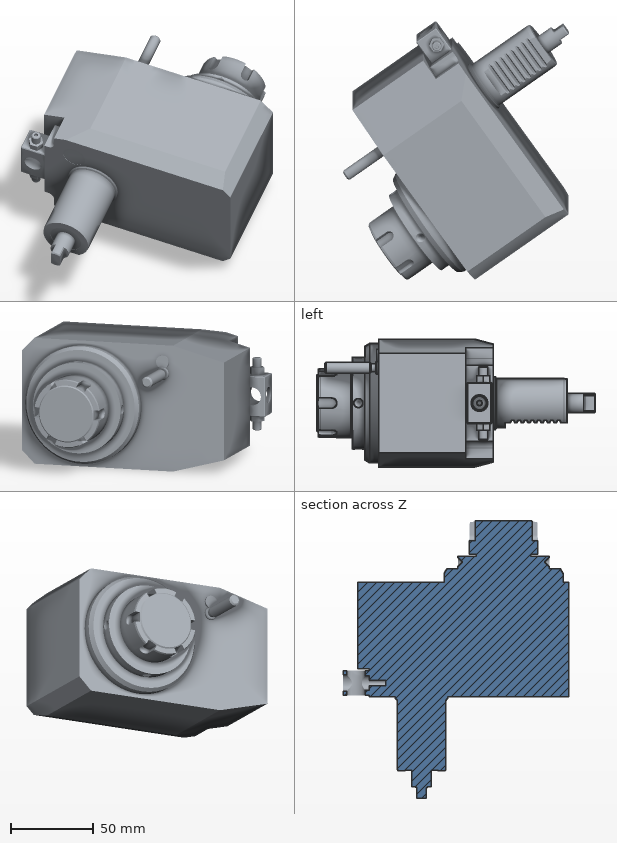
import math

import cadquery as cq


HOUSING_LEFT = -39.0
HOUSING_RIGHT = 90.0
HOUSING_DEPTH = 70.0
HALF_HEIGHT = 39.0
TAPER_START_X = -6.5
TAPER_ANGLE = 15.0
RIGHT_CHAMFER = 8.0
FRONT_BEVEL_DROP = 3.1
FRONT_BEVEL_ANGLE = 15.0

RECESS_DEPTH = 17.0
RECESS_FLOOR_X = -25.7
SEAT_X = -32.0
SEAT_HALF_HEIGHT = 23.2
SEAT_FILLET = 4.0

PLUG_X = -12.5
PLUG_Z = 21.5
PLUG_DIAMETER = 14.5
PLUG_RECESS = 0.1

SHANK_RADIUS = 15.0
SHANK_LENGTH = 45.0
SHANK_END_TAPER_LENGTH = 2.1
SHANK_END_TAPER = 0.3
COLLAR_RADIUS = 16.2
COLLAR_LENGTH = 1.1
COLLAR_SLOPE_END = 1.6
NECK_RADIUS = 15.2
NECK_LENGTH = 2.4
SEAL_RADIUS = 10.0
SEAL_RECESS = 0.3
FLAT_Z = -12.0
FLAT_START = 7.1
TOOTH_COUNT = 8
TOOTH_PITCH = 4.0
FIRST_GROOVE = 11.7
GROOVE_DEPTH = 1.5
GROOVE_MOUTH = 2.8
GROOVE_FLOOR = 1.2
SHAFT_RADIUS = 6.0
SHAFT_END = 55.0
TANG_END = 62.0
TANG_WIDTH = 6.0
TANG_ROOT_FILLET = 0.9
TANG_EDGE_CHAMFER = 0.6
TANG_FACE_HALF_HEIGHT = 4.6

BLOCK_LEFT = -48.0
BLOCK_FRONT = 1.0
BLOCK_BACK = 16.0
BLOCK_HALF_HEIGHT = 12.5
BLOCK_EDGE_CHAMFER = 0.5
BLOCK_BORE_X = -40.0
BLOCK_BORE_DIAMETER = 11.0
INLET_DIAMETER = 10.0
INLET_END_DIAMETER = 8.4
COOLANT_DIAMETER = 3.2
COOLANT_DEPTH = 10.0
FITTING_X = -40.0
FITTING_Y = 6.2
HEX_ACROSS_FLATS = 8.0
HEX_HEIGHT = 4.1
STUD_DIAMETER = 5.4
STUD_TOP = 22.3
STUD_CHAMFER = 0.4
SOCKET_ACROSS_FLATS = 2.5
SOCKET_DEPTH = 2.0

PIN_Z = 21.5
PIN_RADIUS = 3.4
PIN_NECK_RADIUS = 2.5
PIN_COLLAR_RADIUS = 4.0
PIN_COLLAR_EDGE = 71.0
PIN_COLLAR_END = 71.6
PIN_NECK_END = 74.6
PIN_SHOULDER = 75.4
PIN_END = 102.8
PIN_CHAMFER = 1.0
BUTTON_Z = 28.7
BUTTON_RADIUS = 4.0
BUTTON_HEIGHT = 1.2

SPINDLE_X = 50.0
BASE_RADIUS = 36.4
BASE_TOP = 78.3
BASE_CHAMFER_LENGTH = 3.0
BASE_CHAMFER_WIDTH = 1.75
FLANGE_RADIUS = 28.0
FLANGE_TOP = 86.0
FLANGE_HOLE_COUNT = 4
FLANGE_HOLE_Y = 82.3
FLANGE_HOLE_DIAMETER = 5.5
NUT_NECK_RADIUS = 16.8
NUT_BOTTOM = 86.7
NUT_RADIUS = 21.0
NUT_BOTTOM_CHAMFER = 0.4
NUT_EDGE_Y = 105.4
NUT_SHOULDER_RADIUS = 20.6
NUT_SHOULDER_Y = 106.7
NUT_LIP_RADIUS = 17.6
NUT_LIP_Y = 106.9
NUT_FACE_RADIUS = 16.9
NUT_TOP = 107.6
SLOT_COUNT = 6
SLOT_WIDTH = 6.2
SLOT_FLOOR_RADIUS = 17.5
SLOT_END_Y = 95.5

BORE_OVERRUN = 1.0


def box_between(x_range, y_range, z_range):
    """Axis-aligned box given by its limits."""
    spans = [high - low for low, high in (x_range, y_range, z_range)]
    corner = (x_range[0], y_range[0], z_range[0])
    return cq.Workplane("XY").box(*spans, centered=False).translate(corner)


def turned(profile, x=0.0, z=0.0):
    """Solid of revolution about a Y-direction axis; profile holds (radius, y) points."""
    points = [(0, profile[0][1])] + profile + [(0, profile[-1][1])]
    body = cq.Workplane("XY").polyline(points).close().revolve(360, (0, 0, 0), (0, 1, 0))
    return body.translate((x, 0, z))


def cylinder_y(radius, y_start, y_end, x=0.0, z=0.0):
    return turned([(radius, y_start), (radius, y_end)], x, z)


def make_housing():
    left_half_height = HALF_HEIGHT - (TAPER_START_X - HOUSING_LEFT) * math.tan(math.radians(TAPER_ANGLE))
    upper = [
        (HOUSING_LEFT, left_half_height),
        (TAPER_START_X, HALF_HEIGHT),
        (HOUSING_RIGHT - RIGHT_CHAMFER, HALF_HEIGHT),
        (HOUSING_RIGHT, HALF_HEIGHT - RIGHT_CHAMFER),
    ]
    lower = [(x, -z) for x, z in reversed(upper)]
    housing = cq.Workplane("XZ").polyline(upper + lower).close().extrude(-HOUSING_DEPTH)

    bevel_length = FRONT_BEVEL_DROP / math.tan(math.radians(FRONT_BEVEL_ANGLE))
    bevel = (
        cq.Workplane("YZ", origin=(HOUSING_LEFT, 0, 0))
        .polyline([(0, HALF_HEIGHT - FRONT_BEVEL_DROP), (bevel_length, HALF_HEIGHT), (0, HALF_HEIGHT)])
        .close()
        .extrude(HOUSING_RIGHT - HOUSING_LEFT)
    )
    housing = housing.cut(bevel).cut(bevel.mirror("XY"))
    housing = housing.cut(make_recess()).cut(make_recess().mirror("XY"))
    strip = box_between((HOUSING_LEFT, SEAT_X), (0, RECESS_DEPTH), (-SEAT_HALF_HEIGHT, SEAT_HALF_HEIGHT))
    plug_mark = cylinder_y(PLUG_DIAMETER / 2, 0, PLUG_RECESS, PLUG_X, PLUG_Z)
    return housing.cut(strip).cut(plug_mark)


def make_recess():
    """Cutter for the recess above the seat, rounded where its floor meets the seat side."""
    fillet_x = RECESS_FLOOR_X - SEAT_FILLET
    fillet_z = SEAT_HALF_HEIGHT + SEAT_FILLET
    half_root = SEAT_FILLET * math.sqrt(0.5)
    return (
        cq.Workplane("XZ")
        .moveTo(HOUSING_LEFT, SEAT_HALF_HEIGHT)
        .lineTo(fillet_x, SEAT_HALF_HEIGHT)
        .threePointArc((fillet_x + half_root, fillet_z - half_root), (RECESS_FLOOR_X, fillet_z))
        .lineTo(RECESS_FLOOR_X, HALF_HEIGHT)
        .lineTo(HOUSING_LEFT, HALF_HEIGHT)
        .close()
        .extrude(-RECESS_DEPTH)
    )


def make_shank():
    shank = turned([
        (COLLAR_RADIUS, 0),
        (COLLAR_RADIUS, -COLLAR_LENGTH),
        (NECK_RADIUS, -COLLAR_SLOPE_END),
        (SHANK_RADIUS, -NECK_LENGTH),
        (SHANK_RADIUS, SHANK_END_TAPER_LENGTH - SHANK_LENGTH),
        (SHANK_RADIUS - SHANK_END_TAPER, -SHANK_LENGTH),
    ])
    shank = shank.cut(cylinder_y(SEAL_RADIUS, -SHANK_LENGTH, SEAL_RECESS - SHANK_LENGTH))
    flat = box_between(
        (-SHANK_RADIUS, SHANK_RADIUS), (-SHANK_LENGTH, -FLAT_START), (-COLLAR_RADIUS, FLAT_Z)
    )
    shank = shank.cut(flat)
    for index in range(TOOTH_COUNT):
        shank = shank.cut(make_tooth_groove(-FIRST_GROOVE - index * TOOTH_PITCH))
    return shank


def make_tooth_groove(y):
    """Trapezoidal groove across the shank flat, centred at y."""
    return (
        cq.Workplane("YZ", origin=(0, y, FLAT_Z))
        .polyline([
            (-GROOVE_MOUTH / 2, 0),
            (-GROOVE_FLOOR / 2, GROOVE_DEPTH),
            (GROOVE_FLOOR / 2, GROOVE_DEPTH),
            (GROOVE_MOUTH / 2, 0),
        ])
        .close()
        .extrude(SHANK_RADIUS, both=True)
    )


def make_drive_shaft():
    """Round shaft with a flat tang that blends into it through root fillets."""
    shaft = turned([
        (SHAFT_RADIUS, SEAL_RECESS - SHANK_LENGTH),
        (SHAFT_RADIUS, TANG_EDGE_CHAMFER - TANG_END),
        (SHAFT_RADIUS - TANG_EDGE_CHAMFER, -TANG_END),
    ])
    side = box_between(
        (TANG_WIDTH / 2, SHAFT_RADIUS + BORE_OVERRUN),
        (-TANG_END - BORE_OVERRUN, -SHAFT_END),
        (-SHAFT_RADIUS, SHAFT_RADIUS),
    )
    side = side.edges("<X and >Y").fillet(TANG_ROOT_FILLET)
    corner = make_tang_corner()
    for cutter in (side, corner, corner.mirror("XY")):
        shaft = shaft.cut(cutter).cut(cutter.mirror("YZ"))
    return shaft


def make_tang_corner():
    """Cutter for the bevel along one long corner of the tang."""
    face_x = TANG_WIDTH / 2
    bevel_x = face_x - TANG_EDGE_CHAMFER
    bevel_z = math.sqrt(SHAFT_RADIUS**2 - bevel_x**2)
    return (
        cq.Workplane("XZ", origin=(0, -SHAFT_END, 0))
        .polyline([(face_x, TANG_FACE_HALF_HEIGHT), (bevel_x, bevel_z), (face_x, bevel_z)])
        .close()
        .extrude(TANG_END - SHAFT_END)
    )


def make_coolant_block():
    block = box_between(
        (BLOCK_LEFT, SEAT_X), (BLOCK_FRONT, BLOCK_BACK), (-BLOCK_HALF_HEIGHT, BLOCK_HALF_HEIGHT)
    )
    block = block.edges("not >X").chamfer(BLOCK_EDGE_CHAMFER)
    block = block.cut(cylinder_y(BLOCK_BORE_DIAMETER / 2, BLOCK_FRONT, BLOCK_BACK, BLOCK_BORE_X))
    return block.union(make_fitting()).union(make_fitting().mirror("XY"))


def make_fitting():
    """Hexagon and socketed stud standing on top of the coolant block."""
    hex_across_corners = HEX_ACROSS_FLATS / math.cos(math.pi / 6)
    socket_across_corners = SOCKET_ACROSS_FLATS / math.cos(math.pi / 6)
    base = cq.Workplane("XY", origin=(FITTING_X, FITTING_Y, BLOCK_HALF_HEIGHT))
    hexagon = base.polygon(6, hex_across_corners).extrude(HEX_HEIGHT)
    stud = base.circle(STUD_DIAMETER / 2).extrude(STUD_TOP - BLOCK_HALF_HEIGHT)
    stud = stud.faces(">Z").chamfer(STUD_CHAMFER)
    stud = stud.faces(">Z").workplane().polygon(6, socket_across_corners).cutBlind(-SOCKET_DEPTH)
    return hexagon.union(stud)


def make_inlet():
    """Cutter for the side inlet: stepped bore to the seat, then a coolant hole."""
    block_center_y = (BLOCK_FRONT + BLOCK_BACK) / 2
    start = cq.Workplane("YZ", origin=(BLOCK_LEFT, block_center_y, 0))
    entry = start.circle(INLET_DIAMETER / 2).extrude(BLOCK_BORE_X - BLOCK_LEFT)
    end_bore = start.circle(INLET_END_DIAMETER / 2).extrude(SEAT_X - BLOCK_LEFT)
    coolant_hole = start.circle(COOLANT_DIAMETER / 2).extrude(SEAT_X - BLOCK_LEFT + COOLANT_DEPTH)
    return entry.union(end_bore).union(coolant_hole)


def make_locating_pin():
    pin = turned([
        (PIN_COLLAR_RADIUS, HOUSING_DEPTH),
        (PIN_COLLAR_RADIUS, PIN_COLLAR_EDGE),
        (PIN_RADIUS, PIN_COLLAR_END),
        (PIN_NECK_RADIUS, PIN_COLLAR_END),
        (PIN_NECK_RADIUS, PIN_NECK_END),
        (PIN_RADIUS, PIN_SHOULDER),
        (PIN_RADIUS, PIN_END - PIN_CHAMFER),
        (PIN_RADIUS - PIN_CHAMFER, PIN_END),
    ], z=PIN_Z)
    button = cylinder_y(BUTTON_RADIUS, HOUSING_DEPTH, HOUSING_DEPTH + BUTTON_HEIGHT, z=BUTTON_Z)
    return pin.union(button)


def make_spindle():
    spindle = turned([
        (BASE_RADIUS, HOUSING_DEPTH),
        (BASE_RADIUS, BASE_TOP - BASE_CHAMFER_LENGTH),
        (BASE_RADIUS - BASE_CHAMFER_WIDTH, BASE_TOP),
        (FLANGE_RADIUS, BASE_TOP),
        (FLANGE_RADIUS, FLANGE_TOP),
        (NUT_NECK_RADIUS, FLANGE_TOP),
        (NUT_NECK_RADIUS, NUT_BOTTOM),
        (NUT_RADIUS - NUT_BOTTOM_CHAMFER, NUT_BOTTOM),
        (NUT_RADIUS, NUT_BOTTOM + NUT_BOTTOM_CHAMFER),
        (NUT_RADIUS, NUT_EDGE_Y),
        (NUT_SHOULDER_RADIUS, NUT_SHOULDER_Y),
        (NUT_LIP_RADIUS, NUT_LIP_Y),
        (NUT_FACE_RADIUS, NUT_TOP),
    ])
    for index in range(FLANGE_HOLE_COUNT):
        angle = index * 360 / FLANGE_HOLE_COUNT
        spindle = spindle.cut(make_flange_hole().rotate((0, 0, 0), (0, 1, 0), angle))
    for index in range(SLOT_COUNT):
        angle = (index + 0.5) * 360 / SLOT_COUNT
        spindle = spindle.cut(make_nut_slot().rotate((0, 0, 0), (0, 1, 0), angle))
    return spindle.translate((SPINDLE_X, 0, 0))


def make_flange_hole():
    """Cutter for a 90 degree conical dimple at the top of the flange rim."""
    hole_radius = FLANGE_HOLE_DIAMETER / 2
    rim_edge_z = math.sqrt(FLANGE_RADIUS**2 - hole_radius**2)
    start = cq.Vector(0, FLANGE_HOLE_Y, rim_edge_z)
    inward = cq.Vector(0, 0, -1)
    cone = cq.Solid.makeCone(hole_radius, 0, hole_radius, start, inward)
    mouth = cq.Solid.makeCylinder(hole_radius, BORE_OVERRUN, start, cq.Vector(0, 0, 1))
    return cq.Workplane(cone.fuse(mouth))


def make_nut_slot():
    """Round-ended spanner slot at the top of the nut, open at the nut face."""
    half_width = SLOT_WIDTH / 2
    return (
        cq.Workplane("XY", origin=(0, 0, SLOT_FLOOR_RADIUS))
        .moveTo(-half_width, NUT_TOP)
        .lineTo(-half_width, SLOT_END_Y + half_width)
        .threePointArc((0, SLOT_END_Y), (half_width, SLOT_END_Y + half_width))
        .lineTo(half_width, NUT_TOP)
        .close()
        .extrude(NUT_RADIUS - SLOT_FLOOR_RADIUS + BORE_OVERRUN)
    )


result = (
    make_housing()
    .union(make_shank())
    .union(make_drive_shaft())
    .union(make_coolant_block())
    .cut(make_inlet())
    .union(make_locating_pin())
    .union(make_spindle())
)